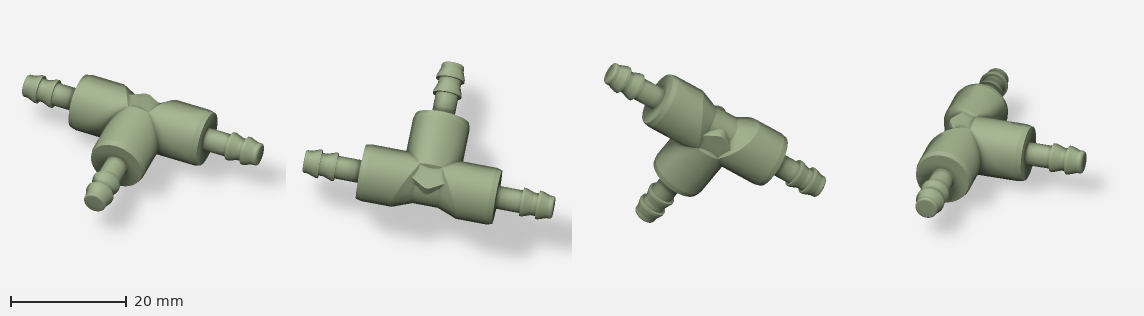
import cadquery as cq
import math

body_radius = 5.0
body_reach = 12.0
body_taper_length = 1.0
body_end_radius = 4.75

tip_reach = 22.0
neck_radius = 2.0
neck_root_fillet = 0.2
barb_radius = 2.5
barb_land = 0.45
barb_slope = 1.45
barb_starts = (16.35, 19.15)
tip_fillet = 0.4

branch_end_y = -2.15
run_end_back = (5.8, body_radius)
run_end_front = (2.0, -2.0)
step_depth = 3.0
step_cone_height = 5.1
core_radius = 3.7

pad_height = 4.5
pad_front_corner = (2.0, -2.1)
pad_shoulder = (2.9, 0.63)
pad_back_angle = math.radians(30)
pad_apex_radius = 1.5
pad_draft = 14


def full_leg():
    """Solid of revolution about X: one leg with its barb, from the origin to the +X tip."""
    profile = (
        cq.Workplane("XY")
        .lineTo(0, body_radius)
        .lineTo(body_reach - body_taper_length, body_radius)
        .lineTo(body_reach, body_end_radius)
        .lineTo(body_reach, neck_radius + neck_root_fillet)
        .radiusArc((body_reach + neck_root_fillet, neck_radius), -neck_root_fillet)
    )
    for start in barb_starts:
        land_end = start + barb_land
        profile = (
            profile.lineTo(start, neck_radius)
            .lineTo(start, barb_radius)
            .lineTo(land_end, barb_radius)
            .lineTo(land_end + barb_slope, neck_radius)
        )
    profile = (
        profile.lineTo(tip_reach - tip_fillet, neck_radius)
        .radiusArc((tip_reach, neck_radius - tip_fillet), tip_fillet)
        .lineTo(tip_reach, 0)
        .close()
    )
    return profile.revolve(360, (0, 0, 0), (1, 0, 0))


def stepped_end(plane, half_width):
    """Cone frustum running inward from the circular or elliptical end of a leg."""
    shrink = 1 - step_depth / step_cone_height
    return (
        cq.Workplane(plane)
        .ellipse(half_width, body_radius)
        .workplane(offset=step_depth)
        .ellipse(half_width * shrink, body_radius * shrink)
        .loft(ruled=True)
    )


def run_leg():
    """Leg along +X, cut off by an upright oblique plane and stepped down toward the centre."""
    back_x, back_y = run_end_back
    dx = back_x - run_end_front[0]
    dy = back_y - run_end_front[1]
    length = math.hypot(dx, dy)
    axis_x = back_x - body_radius * dx / dy
    front_x = back_x - 2 * body_radius * dx / dy
    keep = (
        cq.Workplane("XY")
        .polyline([
            (back_x, body_radius),
            (tip_reach, body_radius),
            (tip_reach, -body_radius),
            (front_x, -body_radius),
        ])
        .close()
        .extrude(body_radius, both=True)
    )
    end_plane = cq.Plane(
        origin=(axis_x, 0, 0),
        xDir=(dx / length, dy / length, 0),
        normal=(-dy / length, dx / length, 0),
    )
    leg = full_leg()
    leg = leg.union(leg.mirror("YZ")).intersect(keep)
    return leg.union(stepped_end(end_plane, body_radius * length / dy))


def branch_leg():
    """Leg along -Y, cut off square and stepped down toward the centre."""
    keep_length = tip_reach + branch_end_y
    keep = cq.Workplane("XY").box(2 * body_radius, keep_length, 2 * body_radius)
    keep = keep.translate((0, branch_end_y - keep_length / 2, 0))
    leg = full_leg().rotate((0, 0, 0), (0, 0, 1), -90).intersect(keep)
    end_plane = cq.Plane(origin=(0, branch_end_y, 0), xDir=(1, 0, 0), normal=(0, 1, 0))
    return leg.union(stepped_end(end_plane, body_radius))


def pad():
    """Upper half of the core pad: five-sided with a rounded back apex, widening downward."""
    front_x, front_y = pad_front_corner
    shoulder_x, shoulder_y = pad_shoulder
    tangent_x = pad_apex_radius * math.sin(pad_back_angle)
    tangent_y = shoulder_y + (shoulder_x - tangent_x) * math.tan(pad_back_angle)
    apex_y = tangent_y + pad_apex_radius * (1 - math.cos(pad_back_angle))
    return (
        cq.Workplane("XY", origin=(0, 0, pad_height))
        .moveTo(front_x, front_y)
        .lineTo(shoulder_x, shoulder_y)
        .lineTo(tangent_x, tangent_y)
        .threePointArc((0, apex_y), (-tangent_x, tangent_y))
        .lineTo(-shoulder_x, shoulder_y)
        .lineTo(-front_x, front_y)
        .close()
        .extrude(-pad_height, taper=-pad_draft)
    )


def core():
    """Round bar joining the run legs, with a flat pad above and below."""
    bar = cq.Workplane("YZ").circle(core_radius).extrude(run_end_back[0], both=True)
    top_pad = pad()
    return bar.union(top_pad).union(top_pad.mirror("XY"))


right_leg = run_leg()
left_leg = right_leg.mirror("YZ")
result = core().union(right_leg).union(left_leg).union(branch_leg())